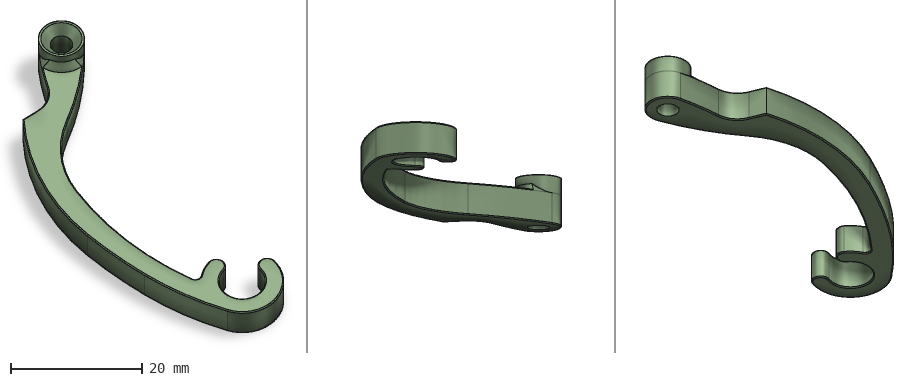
import cadquery as cq
import math

LENGTH = 62.7
WIDTH = 26.95
HEIGHT = 7.5
ARM_HEIGHT = 5.0
EDGE_CHAMFER = 0.2
RIM_HEIGHT = ARM_HEIGHT - EDGE_CHAMFER

BOSS_RADIUS = 3.5
HOLE_DIAMETER = 3.4
SINK_DIAMETER = 6.3
SINK_ANGLE = 90.0
COLLAR_SIZE = 1.1

SHOULDER_RADIUS = 48.35
SHOULDER_DIRECTION = 65.3
BEND_RADIUS = 16.0
SWEEP_CENTER = (19.55, 40.8)
SWEEP_RADIUS = 50.0

NECK_RADIUS = 48.7
NOTCH_CENTER = (5.6, -9.15)
NOTCH_RADIUS = 4.25
CORNER_X = 10.5
BELLY_CENTER = (22.75, 22.1)
BELLY_RADIUS = 35.2
FLANK_RADIUS = 79.3
FLANK_DIRECTION = -68.9
HEEL_RADIUS = 50.15

HOOK_OUTER_RADIUS = 6.35
HOOK_INNER_RADIUS = 3.5
UPPER_TIP_ANGLE = 106.5
LOWER_TIP_ANGLE = 210.5
CROTCH_RADIUS = 0.95

BOSS_CENTER = (0.0, 0.0)
HOOK_CENTER = (
    LENGTH - BOSS_RADIUS - HOOK_OUTER_RADIUS,
    BELLY_CENTER[1] - BELLY_RADIUS + WIDTH - HOOK_OUTER_RADIUS,
)


def polar(center, radius, angle):
    """Point at a radius and an angle in degrees about a center."""
    turn = math.radians(angle)
    return (center[0] + radius * math.cos(turn), center[1] + radius * math.sin(turn))


def direction(start, end):
    """Angle in degrees of the ray from start to end."""
    return math.degrees(math.atan2(end[1] - start[1], end[0] - start[0]))


def meeting_center(first, first_distance, second, second_distance):
    """Point at given distances from two points, to the right of the ray first-second."""
    span = math.dist(first, second)
    cosine = (first_distance**2 + span**2 - second_distance**2) / (2 * first_distance * span)
    offset = math.degrees(math.acos(cosine))
    return polar(first, first_distance, direction(first, second) - offset)


def arc_middle(center, start, end, clockwise):
    """Middle point of the arc about center from start to end."""
    start_angle = direction(center, start)
    if clockwise:
        sweep = -((start_angle - direction(center, end)) % 360)
    else:
        sweep = (direction(center, end) - start_angle) % 360
    return polar(center, math.dist(center, start), start_angle + sweep / 2)


def draw_outline(start, pieces):
    """Closed outline from (arc center, end, clockwise) pieces; a piece without a center is a line."""
    outline = cq.Workplane("XY").moveTo(*start)
    for center, end, clockwise in pieces:
        if center is None:
            outline = outline.lineTo(*end)
        else:
            outline = outline.threePointArc(arc_middle(center, start, end, clockwise), end)
        start = end
    return outline.close()


def upper_edge():
    """Start point and pieces from the top of the boss to the crotch under the hook."""
    shoulder = polar(BOSS_CENTER, BOSS_RADIUS - SHOULDER_RADIUS, SHOULDER_DIRECTION)
    bend = meeting_center(shoulder, SHOULDER_RADIUS + BEND_RADIUS, SWEEP_CENTER, SWEEP_RADIUS - BEND_RADIUS)
    crotch = meeting_center(
        SWEEP_CENTER, SWEEP_RADIUS - CROTCH_RADIUS, HOOK_CENTER, HOOK_OUTER_RADIUS + CROTCH_RADIUS
    )
    start = polar(BOSS_CENTER, BOSS_RADIUS, SHOULDER_DIRECTION)
    pieces = [
        (shoulder, polar(shoulder, SHOULDER_RADIUS, direction(shoulder, bend)), True),
        (bend, polar(bend, BEND_RADIUS, direction(SWEEP_CENTER, bend)), False),
        (SWEEP_CENTER, polar(SWEEP_CENTER, SWEEP_RADIUS, direction(SWEEP_CENTER, crotch)), False),
        (crotch, polar(crotch, CROTCH_RADIUS, direction(crotch, HOOK_CENTER)), False),
    ]
    return start, pieces


def hook_edge(heel):
    """Pieces around both hook tips and back along the outside to the heel arc."""
    tip_ring_radius = (HOOK_OUTER_RADIUS + HOOK_INNER_RADIUS) / 2
    lower_tip = polar(HOOK_CENTER, tip_ring_radius, LOWER_TIP_ANGLE)
    upper_tip = polar(HOOK_CENTER, tip_ring_radius, UPPER_TIP_ANGLE)
    return [
        (HOOK_CENTER, polar(HOOK_CENTER, HOOK_OUTER_RADIUS, LOWER_TIP_ANGLE), True),
        (lower_tip, polar(HOOK_CENTER, HOOK_INNER_RADIUS, LOWER_TIP_ANGLE), True),
        (HOOK_CENTER, polar(HOOK_CENTER, HOOK_INNER_RADIUS, UPPER_TIP_ANGLE), False),
        (upper_tip, polar(HOOK_CENTER, HOOK_OUTER_RADIUS, UPPER_TIP_ANGLE), True),
        (HOOK_CENTER, polar(HOOK_CENTER, HOOK_OUTER_RADIUS, direction(heel, HOOK_CENTER)), True),
    ]


def neck_center():
    """Center of the neck arc, tangent to the boss and to the notch."""
    return meeting_center(NOTCH_CENTER, NECK_RADIUS + NOTCH_RADIUS, BOSS_CENTER, NECK_RADIUS - BOSS_RADIUS)


def lower_edge(flank, heel):
    """Pieces from the hook back along the underside of the arm and around the boss."""
    corner_drop = math.sqrt(BELLY_RADIUS**2 - (BELLY_CENTER[0] - CORNER_X) ** 2)
    corner = (CORNER_X, BELLY_CENTER[1] - corner_drop)
    tangent_turn = math.degrees(math.acos(NOTCH_RADIUS / math.dist(NOTCH_CENTER, corner)))
    notch_end = polar(NOTCH_CENTER, NOTCH_RADIUS, direction(NOTCH_CENTER, corner) + tangent_turn)
    neck = neck_center()
    return [
        (heel, polar(heel, HEEL_RADIUS, direction(flank, heel)), True),
        (flank, polar(flank, FLANK_RADIUS, FLANK_DIRECTION), True),
        (BELLY_CENTER, corner, True),
        (None, notch_end, None),
        (NOTCH_CENTER, polar(NOTCH_CENTER, NOTCH_RADIUS, direction(NOTCH_CENTER, neck)), False),
        (neck, polar(neck, NECK_RADIUS, direction(neck, BOSS_CENTER)), True),
        (BOSS_CENTER, polar(BOSS_CENTER, BOSS_RADIUS, SHOULDER_DIRECTION), True),
    ]


def arm_outline():
    """Closed outline of boss, arm and hook, clockwise from the top of the boss."""
    flank = polar(BELLY_CENTER, BELLY_RADIUS - FLANK_RADIUS, FLANK_DIRECTION)
    heel = meeting_center(flank, FLANK_RADIUS - HEEL_RADIUS, HOOK_CENTER, HEEL_RADIUS - HOOK_OUTER_RADIUS)
    start, pieces = upper_edge()
    return draw_outline(start, pieces + hook_edge(heel) + lower_edge(flank, heel))


def make_arm():
    """Flat arm with its top and bottom edges chamfered."""
    return arm_outline().extrude(ARM_HEIGHT).faces("|Z").edges().chamfer(EDGE_CHAMFER)


def make_boss():
    """Part of the pivot cylinder above the arm, with its seam where the neck meets the boss."""
    seam = polar(BOSS_CENTER, 1, direction(neck_center(), BOSS_CENTER))
    plane = cq.Plane(origin=(*BOSS_CENTER, RIM_HEIGHT), xDir=(*seam, 0), normal=(0, 0, 1))
    return cq.Workplane(plane).circle(BOSS_RADIUS).extrude(HEIGHT - RIM_HEIGHT)


def make_collar():
    """Conical collar around the boss, its sides sloped inward in line with the arm's chamfer."""
    top = ARM_HEIGHT + COLLAR_SIZE
    cone = (
        cq.Workplane("XZ")
        .moveTo(0, ARM_HEIGHT)
        .lineTo(BOSS_RADIUS + COLLAR_SIZE, ARM_HEIGHT)
        .lineTo(BOSS_RADIUS, top)
        .lineTo(0, top)
        .close()
        .revolve(360, (0, 0), (0, 1))
    )
    sloped_prism = arm_outline().extrude(top).faces(">Z").chamfer(top - RIM_HEIGHT)
    return cone.intersect(sloped_prism)


body = make_arm().union(make_collar()).union(make_boss())
result = body.faces(">Z").workplane(origin=BOSS_CENTER).cskHole(HOLE_DIAMETER, SINK_DIAMETER, SINK_ANGLE)